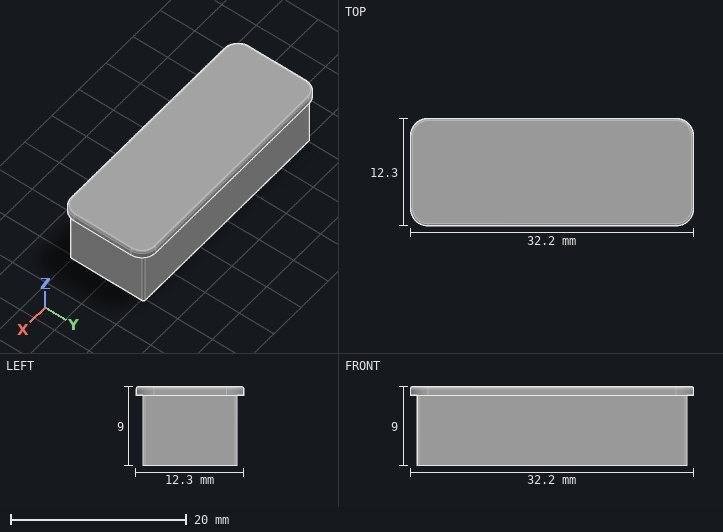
import cadquery as cq

lid_length = 32.25
lid_width = 12.25
total_height = 9.0

lid_thickness = 1.0
lid_corner_radius = 2.0
lid_edge_radius = 0.25

lid_overhang = 0.75
body_length = lid_length - 2 * lid_overhang
body_width = lid_width - 2 * lid_overhang
body_height = total_height - lid_thickness
body_corner_radius = 0.25


def rounded_block(length, width, height, corner_radius):
    """Block centred in X and Y, standing on Z = 0, with rounded vertical edges."""
    block = cq.Workplane("XY").box(length, width, height, centered=(True, True, False))
    return block.edges("|Z").fillet(corner_radius)


def make_body():
    return rounded_block(body_length, body_width, body_height, body_corner_radius)


def make_lid():
    """Flat lid with a rounded top edge, resting on top of the body."""
    lid = rounded_block(lid_length, lid_width, lid_thickness, lid_corner_radius)
    lid = lid.faces(">Z").edges().fillet(lid_edge_radius)
    return lid.translate((0, 0, body_height))


result = make_body().union(make_lid())